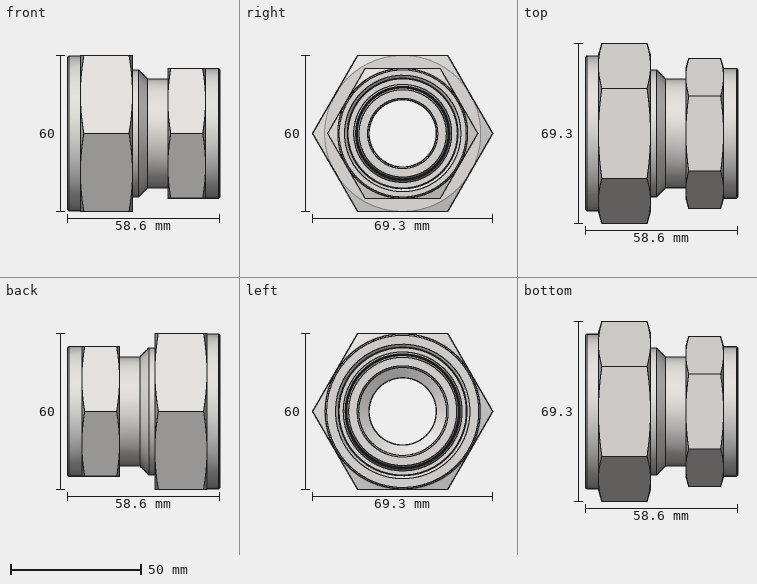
import cadquery as cq
import math


LENGTH = 58.6
OVERSHOOT = 0.7

LARGE_ACROSS_CORNERS = 69.3
LARGE_COLLAR_RADIUS = 29.8
LARGE_COLLAR_LENGTH = 5.0
LARGE_NUT_LENGTH = 25.0
SMALL_ACROSS_FLATS = 49.95
SMALL_COLLAR_RADIUS = SMALL_ACROSS_FLATS / 2
SMALL_COLLAR_LENGTH = 5.55
SMALL_NUT_LENGTH = 20.0
HEX_CHAMFER_ANGLE = 16.0
COLLAR_CHAMFER = 0.55
NUT_MOUTH_CHAMFER = 1.1
NUT_RELIEF = 0.3

LARGE_THREAD_RADIUS = 24.45
SMALL_THREAD_RADIUS = 21.0
THREAD_SETBACK = 13.5
SHOULDER_END = 27.3
TAPER_END = SHOULDER_END + LARGE_THREAD_RADIUS - SMALL_THREAD_RADIUS

LARGE_BORE_RADIUS = 16.9
SMALL_BORE_RADIUS = 12.9
BORE_STEP_START = 26.0
BORE_STEP_ANGLE = 59.0
BORE_CHAMFER = 0.6

SPIGOT_SETBACK = 4.5
SPIGOT_WALL = 3.9
TIP_TAPER_RISE = 0.7
RIB_CHAMFER = 0.3
RIB_STEP = 0.35
ROOT_TAPER_RISE = 0.75
SPIGOT_TAPER_ANGLE = 23.0


def revolve_about_x(points):
    """Solid of revolution about X from a closed (x, radius) outline."""
    return cq.Workplane("XY").polyline(points).close().revolve(360, (0, 0, 0), (1, 0, 0))


def make_nut(across_flats, collar_radius, collar_length, length, thread_radius):
    """Union nut with its mouth at X = 0 and its hexagon towards +X."""
    flat_radius = across_flats / 2
    corner_radius = flat_radius / math.cos(math.radians(30))
    chamfer_length = (corner_radius - flat_radius) * math.tan(math.radians(HEX_CHAMFER_ANGLE))

    hexagon = (
        cq.Workplane("YZ").workplane(offset=collar_length)
        .polygon(6, 2 * corner_radius).extrude(length - collar_length)
    )
    corner_envelope = revolve_about_x([
        (collar_length, 0),
        (collar_length, flat_radius),
        (collar_length + chamfer_length, corner_radius),
        (length - chamfer_length, corner_radius),
        (length, flat_radius),
        (length, 0),
    ])
    collar = (
        cq.Workplane("YZ").circle(collar_radius).extrude(collar_length)
        .faces("<X").chamfer(COLLAR_CHAMFER)
    )

    mouth_radius = thread_radius + NUT_RELIEF
    bore = revolve_about_x([
        (0, 0),
        (0, mouth_radius + NUT_MOUTH_CHAMFER),
        (NUT_MOUTH_CHAMFER, mouth_radius),
        (THREAD_SETBACK, mouth_radius),
        (THREAD_SETBACK, thread_radius),
        (length + OVERSHOOT, thread_radius),
        (length + OVERSHOOT, 0),
    ])
    return hexagon.intersect(corner_envelope).union(collar).cut(bore)


def spigot_profile(bore_radius):
    """(distance from the nut mouth, radius) points from the bore edge to the spigot root."""
    taper_slope = math.tan(math.radians(SPIGOT_TAPER_ANGLE))
    tip_radius = bore_radius + SPIGOT_WALL
    neck_radius = tip_radius + TIP_TAPER_RISE
    rib_radius = neck_radius + RIB_CHAMFER
    seat_radius = rib_radius + RIB_STEP
    root_radius = seat_radius + ROOT_TAPER_RISE
    seat_start = THREAD_SETBACK - ROOT_TAPER_RISE / taper_slope
    return [
        (SPIGOT_SETBACK + BORE_CHAMFER, bore_radius),
        (SPIGOT_SETBACK, bore_radius + BORE_CHAMFER),
        (SPIGOT_SETBACK, tip_radius),
        (SPIGOT_SETBACK + TIP_TAPER_RISE / taper_slope, neck_radius),
        (seat_start - RIB_CHAMFER, neck_radius),
        (seat_start, rib_radius),
        (seat_start, seat_radius),
        (THREAD_SETBACK, root_radius),
    ]


def make_body():
    """Hollow body: large spigot, threaded barrels with a taper between, small spigot."""
    bore_step_length = (LARGE_BORE_RADIUS - SMALL_BORE_RADIUS) / math.tan(math.radians(BORE_STEP_ANGLE))
    large_spigot = spigot_profile(LARGE_BORE_RADIUS)
    small_spigot = [(LENGTH - x, radius) for x, radius in reversed(spigot_profile(SMALL_BORE_RADIUS))]
    barrels = [
        (THREAD_SETBACK, LARGE_THREAD_RADIUS),
        (SHOULDER_END, LARGE_THREAD_RADIUS),
        (TAPER_END, SMALL_THREAD_RADIUS),
        (LENGTH - THREAD_SETBACK, SMALL_THREAD_RADIUS),
    ]
    bore_step = [
        (BORE_STEP_START + bore_step_length, SMALL_BORE_RADIUS),
        (BORE_STEP_START, LARGE_BORE_RADIUS),
    ]
    return revolve_about_x(large_spigot + barrels + small_spigot + bore_step)


body = make_body()

large_nut = make_nut(
    across_flats=LARGE_ACROSS_CORNERS * math.cos(math.radians(30)),
    collar_radius=LARGE_COLLAR_RADIUS,
    collar_length=LARGE_COLLAR_LENGTH,
    length=LARGE_NUT_LENGTH,
    thread_radius=LARGE_THREAD_RADIUS,
)

small_nut = make_nut(
    across_flats=SMALL_ACROSS_FLATS,
    collar_radius=SMALL_COLLAR_RADIUS,
    collar_length=SMALL_COLLAR_LENGTH,
    length=SMALL_NUT_LENGTH,
    thread_radius=SMALL_THREAD_RADIUS,
).mirror("YZ").translate((LENGTH, 0, 0))

result = cq.Compound.makeCompound([body.val(), large_nut.val(), small_nut.val()])